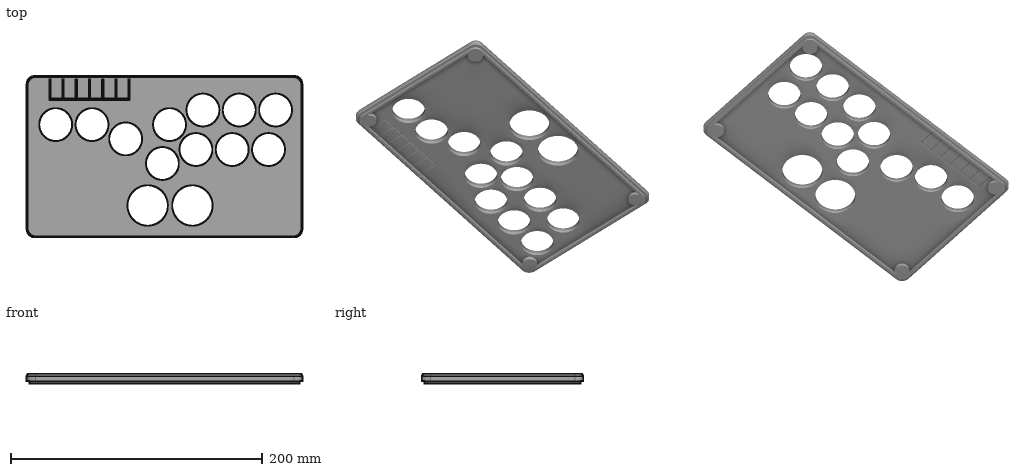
import cadquery as cq

length = 219.75
width = 128.73
height = 8.1
corner_radius = 7.0

rim_height = 2.1
rim_inset = 2.1
rim_corner_radius = 6.5
rim_wall = 2.0

chamfer_height = 2.0
chamfer_inset = 1.0

roof_thickness = 5.0
pocket_depth = height - roof_thickness

boss_diameter = 12.0
boss_inset = 9.5

small_button_diameter = 26.0
large_button_diameter = 32.0
left_row_y = 25.5
upper_row_y = 37.1
lower_row_y = 5.65
button_pitch = 28.9
row_length = 3
left_row_start_x = -86.6
upper_row_start_x = 30.6
lower_row_start_x = 25.0
small_button_centers = [
    (left_row_start_x, left_row_y),
    (left_row_start_x + button_pitch, left_row_y),
    (-30.9, 14.1),
    (4.0, left_row_y),
    (-1.65, -5.45),
]
small_button_centers += [(upper_row_start_x + i * button_pitch, upper_row_y) for i in range(row_length)]
small_button_centers += [(lower_row_start_x + i * button_pitch, lower_row_y) for i in range(row_length)]
large_row_y = -38.9
large_button_centers = [(-13.4, large_row_y), (22.2, large_row_y)]

key_count = 6
key_pitch = 10.5
key_length = 16.2
slot_width = 1.0
key_strip_center_x = -59.7
key_root_y = 61.4
key_tip_y = key_root_y - key_length


def rounded_block(block_length, block_width, block_height, radius, bottom_z):
    """Upright block with rounded corners, centred on the Z axis."""
    block = cq.Workplane("XY", origin=(0, 0, bottom_z)).rect(block_length, block_width).extrude(block_height)
    return block.edges("|Z").fillet(radius)


def plate():
    """Main plate, chamfered around its top face."""
    body = rounded_block(length, width, height - rim_height, corner_radius, rim_height)
    return body.faces(">Z").chamfer(chamfer_height, chamfer_inset)


def rim():
    """Stepped-in block under the plate."""
    return rounded_block(
        length - 2 * rim_inset,
        width - 2 * rim_inset,
        rim_height,
        rim_corner_radius,
        0,
    )


def underside_pocket():
    """Hollow inside the rim, up to the underside of the roof."""
    inset = rim_inset + rim_wall
    return rounded_block(
        length - 2 * inset,
        width - 2 * inset,
        pocket_depth,
        rim_corner_radius - rim_wall,
        0,
    )


def corner_bosses():
    """Four bosses from the roof down to the bottom of the rim."""
    return (
        cq.Workplane("XY")
        .rect(length - 2 * boss_inset, width - 2 * boss_inset, forConstruction=True)
        .vertices()
        .circle(boss_diameter / 2)
        .extrude(pocket_depth)
    )


def button_openings(centers, diameter):
    """Round openings through the full height."""
    return cq.Workplane("XY").pushPoints(centers).circle(diameter / 2).extrude(height)


def key_slots():
    """One slot along the key tips and one on each side of every key."""
    strip_length = key_count * key_pitch + slot_width
    slots = (
        cq.Workplane("XY")
        .center(key_strip_center_x, key_tip_y + slot_width / 2)
        .rect(strip_length, slot_width)
        .extrude(height)
    )
    for i in range(key_count + 1):
        x = key_strip_center_x + (i - key_count / 2) * key_pitch
        side_slot = (
            cq.Workplane("XY")
            .center(x, key_tip_y + key_length / 2)
            .rect(slot_width, key_length)
            .extrude(height)
        )
        slots = slots.union(side_slot)
    return slots


result = (
    plate()
    .union(rim())
    .cut(underside_pocket().cut(corner_bosses()))
    .cut(button_openings(small_button_centers, small_button_diameter))
    .cut(button_openings(large_button_centers, large_button_diameter))
    .cut(key_slots())
)